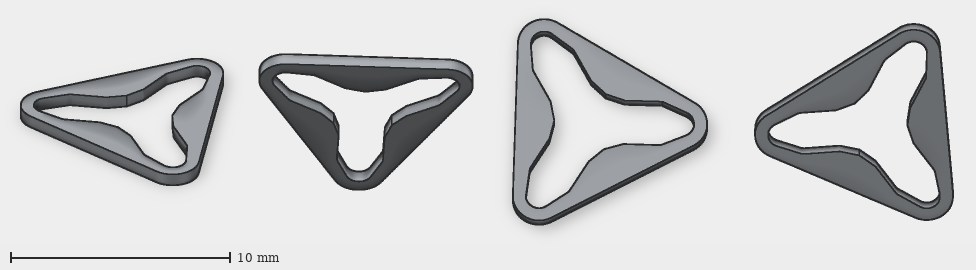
import cadquery as cq
import math

corner_spacing = 7.34
outer_radius = 1.2
thickness = 0.6

rim_width = 0.6
arm_half_width = 1.05
arm_root_distance = 1.65
arm_shoulder_distance = 3.35
land_peak_distance = 1.535
shoulder_radius = 0.5

corner_distance = corner_spacing / math.sqrt(3)
tip_radius = outer_radius - rim_width
arm_step = 120
top_arm = 90
left_arm = top_arm + arm_step
right_arm = left_arm + arm_step
arm_directions = [top_arm, left_arm, right_arm]

left_side = 1
right_side = -1

rounded_shoulders = [
    (top_arm, left_side),
    (top_arm, right_side),
    (left_arm, left_side),
    (left_arm, right_side),
    (right_arm, right_side),
]


def place(along, across, direction):
    """Point at a distance along an arm direction, offset to the left of it."""
    angle = math.radians(direction)
    x = along * math.cos(angle) - across * math.sin(angle)
    y = along * math.sin(angle) + across * math.cos(angle)
    return (x, y)


def tip_tangent_angle():
    """Angle, from the arm axis, at which a straight flank from the shoulder touches the tip arc."""
    shoulder_setback = corner_distance - arm_shoulder_distance
    shoulder_to_center = math.hypot(shoulder_setback, arm_half_width)
    shoulder_angle = math.atan2(arm_half_width, -shoulder_setback)
    return shoulder_angle - math.acos(tip_radius / shoulder_to_center)


def make_plate():
    """Triangular plate with rounded corners."""
    corner_centers = [place(corner_distance, 0, direction) for direction in arm_directions]
    triangle = cq.Workplane("XY").polyline(corner_centers).close()
    return triangle.offset2D(outer_radius).extrude(thickness)


def add_arm(outline, direction):
    """Continue the window outline from a land peak around one arm."""
    tangent_angle = tip_tangent_angle()
    tip_along = corner_distance + tip_radius * math.cos(tangent_angle)
    tip_across = tip_radius * math.sin(tangent_angle)
    return (
        outline.lineTo(*place(arm_root_distance, -arm_half_width, direction))
        .lineTo(*place(arm_shoulder_distance, -arm_half_width, direction))
        .lineTo(*place(tip_along, -tip_across, direction))
        .threePointArc(
            place(corner_distance + tip_radius, 0, direction),
            place(tip_along, tip_across, direction),
        )
        .lineTo(*place(arm_shoulder_distance, arm_half_width, direction))
        .lineTo(*place(arm_root_distance, arm_half_width, direction))
    )


def round_shoulder(window, direction, side):
    """Round the vertical edge of the window at one arm shoulder."""
    x, y = place(arm_shoulder_distance, side * arm_half_width, direction)
    shoulder_edge = cq.selectors.NearestToPointSelector((x, y, thickness / 2))
    return window.edges("|Z").edges(shoulder_edge).fillet(shoulder_radius)


def make_window():
    """Solid of the three-armed opening."""
    first_peak = place(land_peak_distance, 0, top_arm - arm_step / 2)
    outline = cq.Workplane("XY").moveTo(*first_peak)
    for direction in arm_directions:
        outline = add_arm(outline, direction)
        if direction != right_arm:
            outline = outline.lineTo(*place(land_peak_distance, 0, direction + arm_step / 2))
    window = outline.close().extrude(thickness)
    for direction, side in rounded_shoulders:
        window = round_shoulder(window, direction, side)
    return window


result = make_plate().cut(make_window())